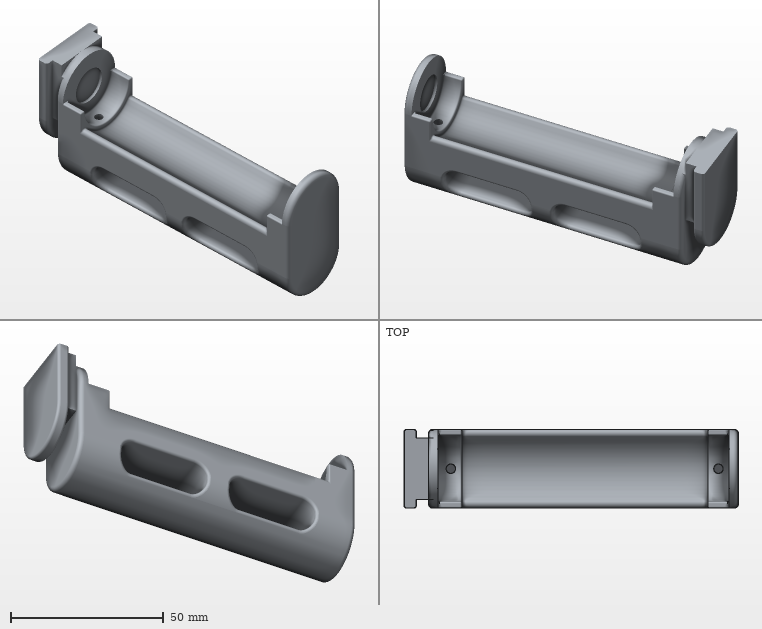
import cadquery as cq
import math

length = 110.0
width = 26.0
height = 48.0
half_width = width / 2
body_start = 8.0
body_length = length - body_start
lower_axis_z = half_width
upper_axis_z = height - half_width
body_edge_round = 1.5

cap_thickness = 3.1
cap_inner_left = body_start + cap_thickness
cap_inner_right = length - cap_thickness
seat_end_left = 19.0
seat_end_right = 100.0
seat_radius = 11.0
seat_edge_round = 0.5
seat_corner_round = 0.5

trough_radius = half_width
rim_round = 1.4

pin_hole_diameter = 3.1
pin_hole_depth = 5.5
pin_hole_places = (15.4, 103.4)
recess_diameter = 13.0
recess_depth = 1.0

window_length = 31.8
window_height = 10.9
window_corner = 5.0
window_edge_round = 1.0
window_z = 11.0
window_places = (39.6, 79.5)

plate_thickness = 4.1
plate_axis_z = 23.9
plate_edge_round = 1.0
neck_width = 20.2


def along_x(x):
    """YZ workplane at the given X."""
    return cq.Workplane("YZ", origin=(x, 0, 0))


def block_between(x_from, x_to, y_size, z_from):
    """Box from one X to another, centred on Y = 0, reaching from z_from to the top of the part."""
    base = cq.Workplane("XY", origin=(x_from, 0, z_from))
    return base.box(x_to - x_from, y_size, height - z_from, centered=(False, True, False))


def make_bar():
    """Bar with the obround end section, before anything is cut from it."""
    return (
        along_x(body_start)
        .moveTo(-half_width, lower_axis_z)
        .threePointArc((0, 0), (half_width, lower_axis_z))
        .lineTo(half_width, upper_axis_z)
        .threePointArc((0, height), (-half_width, upper_axis_z))
        .close()
        .extrude(body_length)
    )


def make_end_caps(rounded_bar):
    """Full-height end caps, with the outer edges of the bar already rounded."""
    return rounded_bar.cut(block_between(cap_inner_left, cap_inner_right, width, 0))


def make_bore_corner(cap_inner, seat_end):
    """Half ring that gives the bore a concave round where it meets the end cap."""
    toward_seat = math.copysign(seat_corner_round, seat_end - cap_inner)
    diagonal = 1 - math.sqrt(0.5)
    inner_radius = seat_radius - seat_corner_round
    return (
        cq.Workplane("XY", origin=(cap_inner, 0, upper_axis_z))
        .moveTo(0, -seat_radius - seat_corner_round)
        .lineTo(toward_seat, -seat_radius - seat_corner_round)
        .lineTo(toward_seat, -seat_radius)
        .threePointArc(
            (toward_seat * diagonal, -seat_radius + seat_corner_round * diagonal), (0, -inner_radius)
        )
        .close()
        .revolve(180, (0, 0, 0), (1, 0, 0))
    )


def make_seat(cap_inner, seat_end):
    """Half-round cradle from an end cap to the trough, with softened free edges."""
    block = (
        along_x(cap_inner)
        .moveTo(-half_width, upper_axis_z)
        .lineTo(-half_width, lower_axis_z)
        .threePointArc((0, 0), (half_width, lower_axis_z))
        .lineTo(half_width, upper_axis_z)
        .lineTo(seat_radius, upper_axis_z)
        .threePointArc((0, upper_axis_z - seat_radius), (-seat_radius, upper_axis_z))
        .close()
        .extrude(seat_end - cap_inner)
    )
    end_face = ">X" if seat_end > cap_inner else "<X"
    top_edges = block.faces(">Z").edges("|X")
    end_edges = block.faces(end_face).edges()
    block = end_edges.add(top_edges).fillet(seat_edge_round)
    return block.union(make_bore_corner(cap_inner, seat_end))


def make_trough(bar):
    """Lower part of the bar between the end caps, hollowed by the trough."""
    rim_y = half_width - rim_round
    rim_z = upper_axis_z - math.sqrt((trough_radius + rim_round) ** 2 - rim_y**2)
    blend = trough_radius / (trough_radius + rim_round)
    blend_y = rim_y * blend
    blend_z = upper_axis_z - (upper_axis_z - rim_z) * blend
    trough_bottom = upper_axis_z - trough_radius
    rim_top = rim_z + rim_round
    space_above = (
        along_x(0)
        .moveTo(-half_width, rim_z)
        .threePointArc((-rim_y, rim_top), (-blend_y, blend_z))
        .threePointArc((0, trough_bottom), (blend_y, blend_z))
        .threePointArc((rim_y, rim_top), (half_width, rim_z))
        .lineTo(half_width, height)
        .lineTo(-half_width, height)
        .close()
        .extrude(length)
    )
    between_caps = block_between(cap_inner_left, cap_inner_right, width, 0)
    return bar.intersect(between_caps).cut(space_above)


def round_trough_ends(body):
    """Concave rounds where the trough and its rims meet the end faces of the seats."""
    margin = 0.1
    for seat_end in (seat_end_left, seat_end_right):
        trough_outline = cq.selectors.BoxSelector(
            (seat_end - margin, -half_width - margin, upper_axis_z - trough_radius - margin),
            (seat_end + margin, half_width + margin, upper_axis_z - seat_edge_round - margin),
            boundingbox=True,
        )
        body = body.edges(trough_outline).edges("%CIRCLE").fillet(seat_corner_round)
    return body


def cut_windows(body):
    """Rounded windows through the full width, with softened outer edges."""
    cutters = (
        cq.Workplane("XZ", origin=(0, half_width, 0))
        .pushPoints([(x, window_z) for x in window_places])
        .rect(window_length, window_height)
        .extrude(width)
        .edges("|Y")
        .fillet(window_corner)
    )
    body = body.cut(cutters)
    margin = 0.1
    reach_x = window_length / 2 + margin
    reach_z = window_height / 2 + margin
    for x in window_places:
        around_window = cq.selectors.BoxSelector(
            (x - reach_x, -width, window_z - reach_z),
            (x + reach_x, width, window_z + reach_z),
            boundingbox=True,
        )
        body = body.edges(around_window).edges("not |Y").fillet(window_edge_round)
    return body


def cut_pin_holes(body):
    """Blind holes straight down from the bottom of the seats."""
    floor_z = upper_axis_z - seat_radius - pin_hole_depth
    for x in pin_hole_places:
        hole = cq.Workplane("XY", origin=(x, 0, floor_z))
        body = body.cut(hole.circle(pin_hole_diameter / 2).extrude(upper_axis_z - floor_z))
    return body


def cut_recesses(body):
    """Shallow round recesses in the facing sides of the end caps."""
    left = cap_inner_left - recess_depth
    right = cap_inner_right + recess_depth
    cutter = along_x(left).center(0, upper_axis_z).circle(recess_diameter / 2).extrude(right - left)
    return body.cut(cutter)


def make_plate():
    """Flat-topped plate with a half-round bottom and rounded edges except along the top."""
    return (
        along_x(0)
        .moveTo(-half_width, height)
        .lineTo(-half_width, plate_axis_z)
        .threePointArc((0, plate_axis_z - half_width), (half_width, plate_axis_z))
        .lineTo(half_width, height)
        .close()
        .extrude(plate_thickness)
        .faces("<X or >X")
        .edges("not >Z")
        .fillet(plate_edge_round)
    )


def make_neck(bar):
    """Neck from the plate to the bar, filling the rounded edge of the bar behind it."""
    outside_bar = block_between(plate_thickness, body_start, neck_width, plate_axis_z)
    edge_filling = block_between(body_start, body_start + body_edge_round, neck_width, plate_axis_z)
    return outside_bar.union(edge_filling.intersect(bar))


bar = make_bar()
rounded_bar = bar.faces("<X or >X").edges().fillet(body_edge_round)
body = make_end_caps(rounded_bar).union(make_trough(bar))
body = body.union(make_seat(cap_inner_left, seat_end_left))
body = body.union(make_seat(cap_inner_right, seat_end_right))
body = round_trough_ends(body)
body = cut_pin_holes(body)
body = cut_recesses(body)
body = cut_windows(body)
result = body.union(make_neck(bar)).union(make_plate())